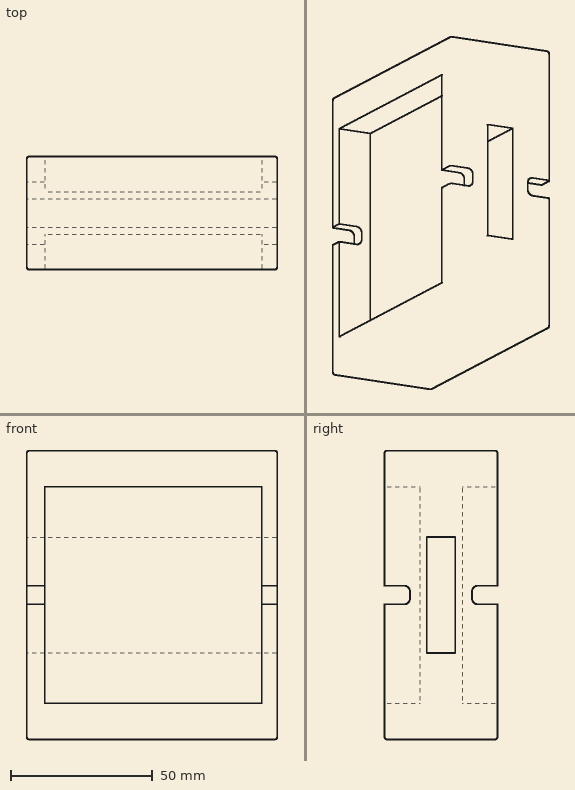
import cadquery as cq

WIDTH = 88.5
DEPTH = 40.0
HEIGHT = 102.0
EDGE_RADIUS = 1.0

POCKET_SIDE = 76.5
POCKET_DEPTH = 12.5
POCKET_OFFSET_X = 0.45

SLOT_THICKNESS = 10.0
SLOT_HEIGHT = 40.8

NOTCH_DEPTH = 9.0
NOTCH_HEIGHT = 6.5
NOTCH_RADIUS = 2.0

FRONT = -1
BACK = 1


def rounded_block():
    return cq.Workplane("XY").box(WIDTH, DEPTH, HEIGHT).edges().fillet(EDGE_RADIUS)


def pocket(side):
    centre_y = side * (DEPTH - POCKET_DEPTH) / 2
    cavity = cq.Workplane("XY").box(POCKET_SIDE, POCKET_DEPTH, POCKET_SIDE)
    return cavity.translate((POCKET_OFFSET_X, centre_y, 0))


def notch(side):
    """Full-width groove whose two inner corners are rounded."""
    centre_y = side * (DEPTH - NOTCH_DEPTH) / 2
    inner_edges = "|X and >Y" if side == FRONT else "|X and <Y"
    groove = cq.Workplane("XY").box(WIDTH, NOTCH_DEPTH, NOTCH_HEIGHT)
    return groove.edges(inner_edges).fillet(NOTCH_RADIUS).translate((0, centre_y, 0))


def through_slot():
    return cq.Workplane("XY").box(WIDTH, SLOT_THICKNESS, SLOT_HEIGHT)


result = rounded_block().cut(through_slot())
for face_side in (FRONT, BACK):
    result = result.cut(pocket(face_side)).cut(notch(face_side))